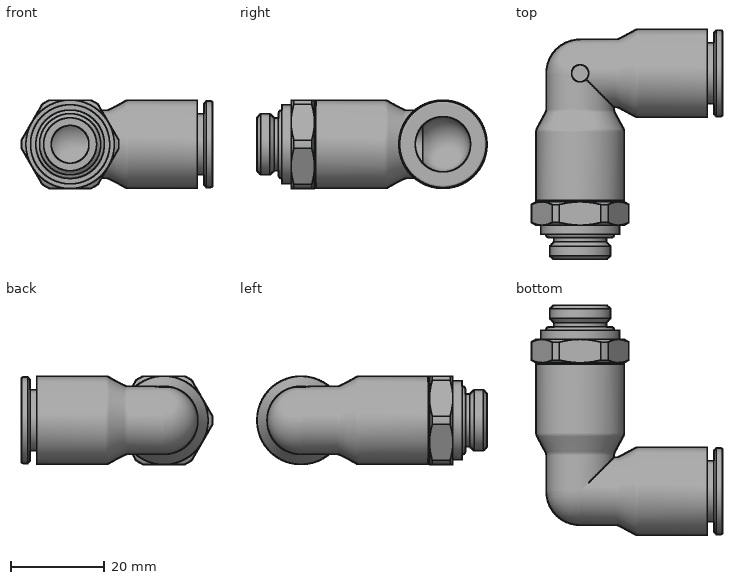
import cadquery as cq
import math


neck_radius = 7.35
body_radius = 9.5
cone_start = 8.1
cone_end = 12.2
cone_blend_radius = 1.5
body_end = 27.35

collar_stem_radius = 6.6
collar_radius = 9.3
collar_start = 28.75
collar_end = 30.65
collar_chamfer = 0.55
collar_round = 0.5

spacer_radius = 8.3
hex_start = 27.65
hex_end = 32.65
hex_across_flats = 2 * body_radius
hex_corner_radius = 10.5
hex_bevel_angle = 30
flange_radius = 8.5
flange_end = 34.6
seal_outer_radius = 7.4
seal_section_radius = 0.75
relief_radius = 5.7
relief_end = 36.25
thread_radius = 6.6
thread_start = 37.2
thread_bevel_start = 39.2
thread_end = 40.0

tube_bore_radius = 5.95
thread_bore_radius = 4.05
recess_radius = 1.85
recess_floor = 6.8

TUBE_DIRECTION = (1, 0, 0)
THREAD_DIRECTION = (0, -1, 0)


def cylinder(direction, radius, start, end):
    """Cylinder through the origin axis given by direction, between two stations along it."""
    base = cq.Vector(*direction) * start
    return cq.Workplane(cq.Solid.makeCylinder(radius, end - start, base, cq.Vector(*direction)))


def to_thread_branch(shape):
    """Swing a shape built along +X onto the -Y branch."""
    return shape.rotate((0, 0, 0), (0, 0, 1), -90)


def revolve_about_x(points):
    """Revolve (station, radius) points, closed through the X axis."""
    first_station = points[0][0]
    last_station = points[-1][0]
    outline = [(first_station, 0)] + points + [(last_station, 0)]
    return cq.Workplane("XY").polyline(outline).close().revolve(360, (0, 0, 0), (1, 0, 0))


def branch_body():
    """Neck, blended cone and body barrel along +X."""
    half_angle = math.atan2(body_radius - neck_radius, cone_end - cone_start)
    tangent = cone_blend_radius * math.tan(half_angle / 2)
    cone_dx = tangent * math.cos(half_angle)
    cone_dr = tangent * math.sin(half_angle)
    mid_dx = cone_blend_radius * math.sin(half_angle / 2)
    mid_dr = cone_blend_radius * (1 - math.cos(half_angle / 2))
    neck_arc_start = cone_start - tangent
    body_arc_end = cone_end + tangent
    return (
        cq.Workplane("XY")
        .lineTo(0, neck_radius)
        .lineTo(neck_arc_start, neck_radius)
        .threePointArc(
            (neck_arc_start + mid_dx, neck_radius + mid_dr),
            (cone_start + cone_dx, neck_radius + cone_dr),
        )
        .lineTo(cone_end - cone_dx, body_radius - cone_dr)
        .threePointArc(
            (body_arc_end - mid_dx, body_radius - mid_dr),
            (body_arc_end, body_radius),
        )
        .lineTo(body_end, body_radius)
        .lineTo(body_end, 0)
        .close()
        .revolve(360, (0, 0, 0), (1, 0, 0))
    )


def release_collar():
    """Collar with a bevelled inner rim and a rounded outer rim, on its stem."""
    stem = cylinder(TUBE_DIRECTION, collar_stem_radius, body_end, collar_start)
    rim = cylinder(TUBE_DIRECTION, collar_radius, collar_start, collar_end)
    rim = rim.faces("<X").edges().chamfer(collar_chamfer)
    rim = rim.faces(">X").edges().fillet(collar_round)
    return stem.union(rim)


def hex_nut():
    """Hexagon with corners on +X and -X, turned round and bevelled at both ends."""
    across_corners = hex_across_flats / math.cos(math.pi / 6)
    prism = (
        cq.Workplane("XZ", origin=(0, -hex_start, 0))
        .polygon(6, across_corners)
        .extrude(hex_end - hex_start)
    )
    inscribed_radius = hex_across_flats / 2
    bevel = (hex_corner_radius - inscribed_radius) * math.tan(math.radians(hex_bevel_angle))
    envelope = revolve_about_x([
        (hex_start, inscribed_radius),
        (hex_start + bevel, hex_corner_radius),
        (hex_end - bevel, hex_corner_radius),
        (hex_end, inscribed_radius),
    ])
    return prism.intersect(to_thread_branch(envelope))


def threaded_end():
    """Flange with a half-sunk seal ring, thread relief and plain thread barrel."""
    flange = cylinder(THREAD_DIRECTION, flange_radius, hex_end, flange_end)
    seal_ring = cq.Workplane(
        cq.Solid.makeTorus(
            seal_outer_radius - seal_section_radius,
            seal_section_radius,
            cq.Vector(0, -flange_end, 0),
            cq.Vector(*THREAD_DIRECTION),
        )
    )
    thread = revolve_about_x([
        (flange_end, relief_radius),
        (relief_end, relief_radius),
        (thread_start, thread_radius),
        (thread_bevel_start, thread_radius),
        (thread_end, relief_radius),
    ])
    return flange.union(seal_ring).union(to_thread_branch(thread))


def elbow_bore():
    """Wide tube bore with a round inner end, opened by the narrower thread bore."""
    round_end = cq.Workplane("XY").sphere(tube_bore_radius)
    tube_bore = cylinder(TUBE_DIRECTION, tube_bore_radius, 0, collar_end)
    thread_bore = cylinder(THREAD_DIRECTION, thread_bore_radius, 0, thread_end)
    return round_end.union(tube_bore).union(thread_bore)


elbow_corner = cq.Workplane("XY").sphere(neck_radius)
spacer = cylinder(THREAD_DIRECTION, spacer_radius, body_end, hex_start)
maker_recess = cylinder((0, 0, 1), recess_radius, recess_floor, neck_radius)

result = (
    branch_body()
    .union(to_thread_branch(branch_body()))
    .union(elbow_corner)
    .union(release_collar())
    .union(spacer)
    .union(hex_nut())
    .union(threaded_end())
    .cut(elbow_bore())
    .cut(maker_recess)
)